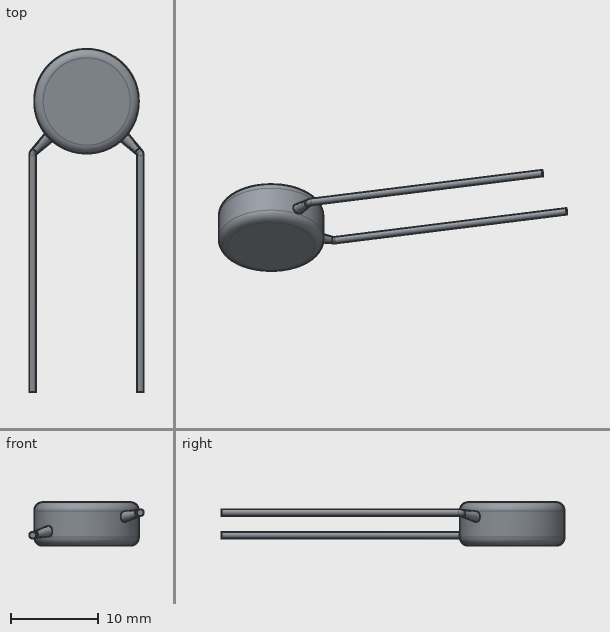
import cadquery as cq
import math

disc_diameter = 12.0
disc_thickness = 5.0
disc_edge_radius = 1.0

overall_width = 13.1
overall_length = 39.2
wire_diameter = 0.8
lead_height = 1.3
bend_radius = 0.47
bend_start_y = -6.15
plan_angle = 45.0
tilt_angle = 10.0

sleeve_gap = 0.27
sleeve_length = 2.7
sleeve_tip_diameter = 0.82
sleeve_base_diameter = 1.35

wire_radius = wire_diameter / 2
lead_x = overall_width / 2 - wire_radius
lead_end_y = disc_diameter / 2 - overall_length
plan = math.radians(plan_angle)
tilt = math.radians(tilt_angle)

along_straight = cq.Vector(0, 1, 0)
along_inner = cq.Vector(
    -math.cos(tilt) * math.sin(plan),
    math.cos(tilt) * math.cos(plan),
    -math.sin(tilt),
)
bend_angle = along_straight.getAngle(along_inner)
towards_bend_centre = (along_inner - along_straight * math.cos(bend_angle)).normalized()

lead_end = cq.Vector(lead_x, lead_end_y, lead_height)
bend_start = cq.Vector(lead_x, bend_start_y, lead_height)
bend_end = (
    bend_start
    + along_straight * (bend_radius * math.sin(bend_angle))
    + towards_bend_centre * (bend_radius * (1 - math.cos(bend_angle)))
)
sleeve_tip = bend_end + along_inner * sleeve_gap
sleeve_base = sleeve_tip + along_inner * sleeve_length

lead_turns = [0, 180]


def turned(solid, angle):
    return solid.rotate(cq.Vector(0, 0, 0), cq.Vector(0, 1, 0), angle)


def make_lead(angle):
    """Round wire: a straight length, a bend and an inner length that ends at the sleeve's base."""
    path = cq.Wire.assembleEdges([
        cq.Edge.makeLine(lead_end, bend_start),
        cq.Edge.makeTangentArc(bend_start, along_straight, bend_end),
        cq.Edge.makeLine(bend_end, sleeve_base),
    ])
    wire = cq.Workplane(cq.Plane(lead_end, normal=along_straight)).circle(wire_radius).sweep(path)
    return turned(wire.val(), angle)


def make_sleeve(angle):
    """Cone from its base inside the disc out to its tip on the wire."""
    cone = cq.Solid.makeCone(
        sleeve_base_diameter / 2, sleeve_tip_diameter / 2, sleeve_length,
        pnt=sleeve_base, dir=along_inner * -1,
    )
    return turned(cone, angle)


def make_coating(leads):
    """Rounded disc with a sleeve along each lead, bored to fit the leads."""
    coating = (
        cq.Workplane("XY")
        .cylinder(disc_thickness, disc_diameter / 2)
        .edges()
        .fillet(disc_edge_radius)
    )
    for angle in lead_turns:
        coating = coating.union(cq.Workplane(make_sleeve(angle)))
    for lead in leads:
        coating = coating.cut(cq.Workplane(lead))
    return coating.solids()


leads = [make_lead(angle) for angle in lead_turns]
coating = make_coating(leads)

result = cq.Compound.makeCompound([coating.val(), *leads])